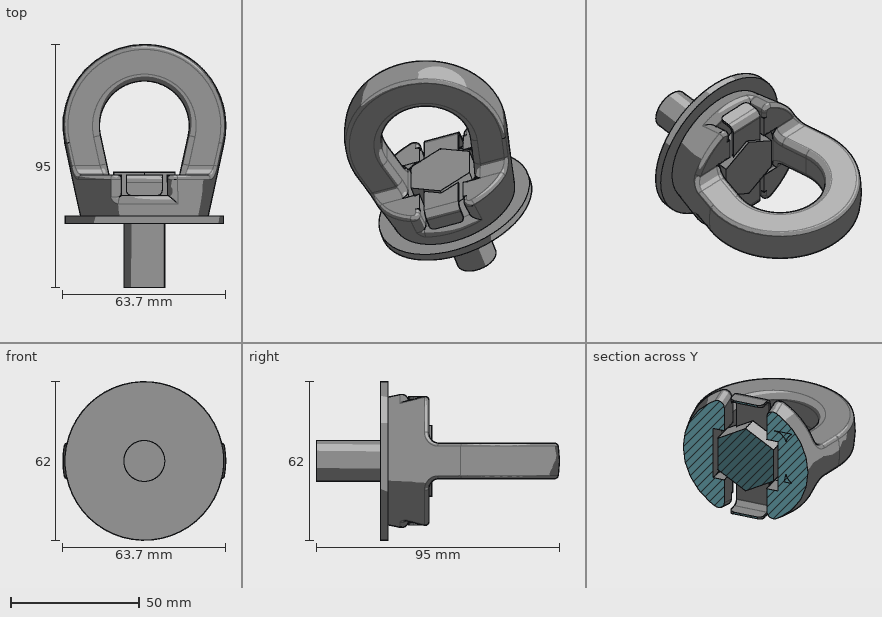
import cadquery as cq
import math


eye_height = 67.0
ring_radius = 31.87
ring_centre_y = eye_height - ring_radius
window_radius = 17.5
side_taper = math.radians(12.25)
ring_thickness = 14.0
base_height = 16.0
neck_radius = 3.75
neck_end_z = ring_thickness / 2 + neck_radius
window_edge_radius = 2.75
rim_radius = 1.5

slot_width = 18.0
slot_floor_y = 8.0
slot_inner_z = 20.0
slot_edge_radius = 2.75

flange_diameter = 62.0
flange_thickness = 3.0
shank_diameter = 16.0
shank_length = 25.0
head_across_flats = 24.0
head_across_corners = head_across_flats / math.cos(math.radians(30))
head_top_y = 17.1
head_bottom_y = slot_floor_y
head_pocket_diameter = 28.0

clip_width = 14.0
clip_thickness = 1.0
clip_reach = 25.1
clip_top_y = base_height
tab_end_y = slot_floor_y
clip_bend_radius = 3.0
clip_corner_radius = 2.0

tolerance = 0.1

span = 2 * flange_diameter


def cylinder_along_y(diameter, start_y, end_y):
    """Solid cylinder on the bolt axis."""
    workplane = cq.Workplane("XZ", origin=(0, start_y, 0))
    return workplane.circle(diameter / 2).extrude(start_y - end_y)


def box_above(bottom_y, top_y, width_x, width_z):
    """Box centred on the bolt axis between two heights."""
    box = cq.Workplane("XY").box(width_x, top_y - bottom_y, width_z)
    return box.translate((0, (bottom_y + top_y) / 2, 0))


def tapered_side_x(radius, y):
    """X of the tapered line that is tangent to a circle about the ring centre."""
    return (radius + (y - ring_centre_y) * math.sin(side_taper)) / math.cos(side_taper)


def tangent_point(radius):
    """Point where the tapered side line meets that circle."""
    return (radius * math.cos(side_taper), ring_centre_y - radius * math.sin(side_taper))


def arc_middle(radius):
    """Point on that circle between the tangent point and the top."""
    angle = (math.pi / 2 - side_taper) / 2
    return (radius * math.cos(angle), ring_centre_y + radius * math.sin(angle))


def make_eye_envelope():
    """Cone that runs tangentially into a dome, on the bolt axis."""
    return (
        cq.Workplane("XY")
        .lineTo(tapered_side_x(ring_radius, 0), 0)
        .lineTo(*tangent_point(ring_radius))
        .threePointArc(arc_middle(ring_radius), (0, eye_height))
        .close()
        .revolve(360, (0, 0, 0), (0, 1, 0))
    )


def make_window():
    """Ring opening, continued between the necks down into the base."""
    half_width = tapered_side_x(window_radius, base_height)
    side_x, side_y = tangent_point(window_radius)
    opening = (
        cq.Workplane("XY")
        .moveTo(-half_width, base_height)
        .lineTo(half_width, base_height)
        .lineTo(side_x, side_y)
        .threePointArc((0, ring_centre_y + window_radius), (-side_x, side_y))
        .close()
        .extrude(span / 2, both=True)
    )
    return opening.union(box_above(slot_floor_y, base_height, 2 * half_width, 2 * neck_end_z))


def make_blank():
    """Flat ring plate on a base block, with concave necks between them."""
    plate = box_above(0, eye_height, span, ring_thickness)
    base = box_above(0, base_height, span, span)
    inner_corners = cq.selectors.BoxSelector(
        (-span, base_height - tolerance, -ring_thickness),
        (span, base_height + tolerance, ring_thickness),
    )
    return plate.union(base).edges(inner_corners).fillet(neck_radius)


def is_slot_mouth(edge):
    """Edges where the slot floor and walls meet the conical skin of the base."""
    box = edge.BoundingBox()
    within_slot = max(-box.xmin, box.xmax) < slot_width / 2 + tolerance
    near_skin = min(abs(box.zmin), abs(box.zmax)) > slot_inner_z + tolerance
    one_sided = box.zmin * box.zmax > 0
    return within_slot and near_skin and one_sided and box.ymin > slot_floor_y - tolerance


def is_outer_rim(edge):
    """Edges between the outer skin and the flat faces, the necks or the base top."""
    box = edge.BoundingBox()
    on_ring_or_neck = max(-box.xmin, box.xmax) > slot_width
    beside_slot = min(abs(box.zmin), abs(box.zmax)) > slot_inner_z - tolerance
    above_base = box.ymin > base_height - tolerance
    return above_base and edge.geomType() != "LINE" and (on_ring_or_neck or beside_slot)


def is_window_rim(edge):
    """Edges of the window on the flat faces and the necks."""
    box = edge.BoundingBox()
    inside_x = max(-box.xmin, box.xmax) < window_radius + tolerance
    inside_z = max(-box.zmin, box.zmax) < neck_end_z + tolerance
    one_sided = box.zmin * box.zmax > 0
    rises = box.ymin > base_height - tolerance and box.ymax - box.ymin > tolerance
    return inside_x and inside_z and one_sided and rises


def fillet_matching(body, matches, radius):
    edges = [edge for edge in body.edges().vals() if matches(edge)]
    return body.newObject(edges).fillet(radius)


def make_slot_cutter(blank):
    """The material that one slot with rounded mouth edges takes from the blank, on the -Z side."""
    depth = span / 2
    slot = box_above(slot_floor_y, base_height, slot_width, depth)
    slotted = blank.cut(slot.translate((0, 0, -slot_inner_z - depth / 2)))
    return blank.cut(fillet_matching(slotted, is_slot_mouth, slot_edge_radius))


def make_eye():
    slot_core = box_above(slot_floor_y, base_height, slot_width, 2 * slot_inner_z)
    pocket = cylinder_along_y(head_pocket_diameter, head_bottom_y, base_height)
    bolt_hole = cylinder_along_y(shank_diameter, 0, head_bottom_y)

    eye = make_blank().intersect(make_eye_envelope())
    slot_cutter = make_slot_cutter(eye)
    for angle in (0, 180):
        eye = eye.cut(slot_cutter.rotate((0, 0, 0), (0, 1, 0), angle))
    eye = fillet_matching(eye, is_outer_rim, rim_radius)
    eye = fillet_matching(eye.cut(make_window()), is_window_rim, window_edge_radius)
    return eye.cut(slot_core).cut(pocket).cut(bolt_hole)


def make_clip():
    """U-shaped strip with a tab hanging into each slot."""
    outer = box_above(tab_end_y, clip_top_y, clip_width, 2 * clip_reach)
    inner = box_above(tab_end_y, clip_top_y - clip_thickness, clip_width, 2 * (clip_reach - clip_thickness))
    outer = outer.edges(">Y and |X").fillet(clip_bend_radius)
    inner = inner.edges(">Y and |X").fillet(clip_bend_radius - clip_thickness)
    return outer.cut(inner).edges("<Y and |Z").fillet(clip_corner_radius)


def make_bolt():
    """Hexagon head, shank and flange, with a slot in the head for the clip."""
    head = (
        cq.Workplane("XZ", origin=(0, head_bottom_y, 0))
        .polygon(6, head_across_corners)
        .extrude(head_bottom_y - head_top_y)
        .rotate((0, 0, 0), (0, 1, 0), 30)
    )
    shank = cylinder_along_y(shank_diameter, -flange_thickness - shank_length, head_bottom_y)
    flange = cylinder_along_y(flange_diameter, -flange_thickness, 0)
    clip_slot = box_above(clip_top_y - clip_thickness, clip_top_y, clip_width, span)
    return head.union(shank).union(flange).cut(clip_slot)


eye = make_eye()
clip = make_clip()
bolt = make_bolt()
result = cq.Compound.makeCompound([eye.val(), clip.val(), bolt.val()])